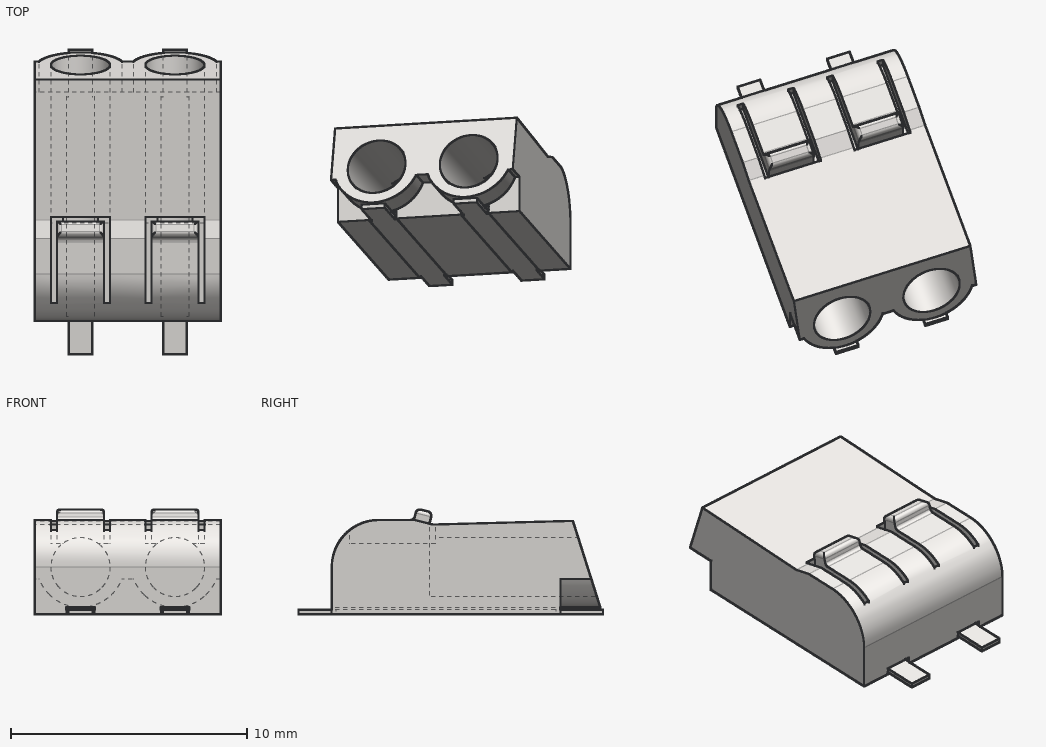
import cadquery as cq
import math


pole_pitch = 4.0
pole_centers = (-pole_pitch / 2, pole_pitch / 2)

lead_length = 12.9
lead_width = 1.0
lead_thickness = 0.19
lead_front_y = -lead_length / 2

housing_width = 7.9
housing_top = 4.0
lead_exposed_front = 1.4
front_y = lead_front_y + lead_exposed_front
front_radius = 2.0
foot_depth = 9.69
foot_rear_y = front_y + foot_depth
ramp_front_y = -1.55
ramp_rear_y = -0.76
ramp_rear_z = 3.8
roof_rear_y = 5.17
roof_rear_z = 3.96
rear_tip_y = 6.33

channel_width = 1.2
channel_height = 0.3
shoulder_setback = 0.19

hole_diameter = 2.5
hole_center_z = 2.0
overhang_z = 1.5
collar_radius = 1.88
collar_center_z = channel_height + collar_radius

lever_width = 2.0
slot_width = 2.5
slot_front_y = -4.28
slot_rear_y = -0.65
slot_floor_z = 3.0

tab_front_y = -1.56
tab_top = 4.44
tab_thickness = 0.68
tab_radius = 0.19
root_radius = 0.17
tab_root = 0.13
ramp_angle = math.atan2(housing_top - ramp_rear_z, ramp_rear_y - ramp_front_y)
rounding_center_rise = tab_top - housing_top - tab_radius + tab_radius * math.sin(ramp_angle)
tab_height = tab_radius + rounding_center_rise / math.cos(ramp_angle)
lever_rear_y = tab_front_y + tab_thickness * math.cos(ramp_angle)


def block(width, x_center, y_range, z_range):
    """Box centered on x_center, between the given Y and Z limits."""
    y_low, y_high = y_range
    z_low, z_high = z_range
    return cq.Workplane("XY").box(
        width, y_high - y_low, z_high - z_low, centered=(True, False, False)
    ).translate((x_center, y_low, z_low))


def rod_along_y(radius, x_center, z_center, y_range):
    """Cylinder parallel to Y."""
    y_low, y_high = y_range
    axis_start = cq.Vector(x_center, y_low, z_center)
    return cq.Workplane(
        cq.Solid.makeCylinder(radius, y_high - y_low, axis_start, cq.Vector(0, 1, 0))
    )


def make_envelope():
    """Side outline of the housing, extruded across its full width."""
    arc_center_y = front_y + front_radius
    arc_center_z = housing_top - front_radius
    arc_reach = front_radius * math.sqrt(0.5)
    return (
        cq.Workplane("YZ")
        .moveTo(front_y, 0)
        .lineTo(front_y, arc_center_z)
        .threePointArc(
            (arc_center_y - arc_reach, arc_center_z + arc_reach),
            (arc_center_y, housing_top),
        )
        .lineTo(ramp_front_y, housing_top)
        .lineTo(ramp_rear_y, ramp_rear_z)
        .lineTo(roof_rear_y, roof_rear_z)
        .lineTo(rear_tip_y, channel_height)
        .lineTo(foot_rear_y, channel_height)
        .lineTo(foot_rear_y, 0)
        .close()
        .extrude(housing_width / 2, both=True)
    )


def make_undercut():
    """Space under the rear overhang, around the two round wire entry collars."""
    undercut = block(housing_width, 0, (foot_rear_y, rear_tip_y), (0, overhang_z))
    for x in pole_centers:
        undercut = undercut.cut(
            rod_along_y(collar_radius, x, collar_center_z, (foot_rear_y, rear_tip_y))
        )
    return undercut


def make_lever_slot(x):
    """U-shaped slot that frees the sides and the rear end of one lever."""
    slot = block(slot_width, x, (slot_front_y, slot_rear_y), (slot_floor_z, housing_top))
    lever = block(lever_width, x, (slot_front_y, lever_rear_y), (slot_floor_z, housing_top))
    return slot.cut(lever)


def make_tab(x):
    """Finger tab with rounded top edges, tilted square to the ramp."""
    tab = (
        cq.Workplane("XY")
        .box(lever_width, tab_thickness, tab_height + tab_root, centered=(True, False, False))
        .faces(">Z")
        .edges()
        .fillet(tab_radius)
        .translate((0, 0, -tab_root))
    )
    tilted = tab.rotate((0, 0, 0), (1, 0, 0), -math.degrees(ramp_angle))
    return tilted.translate((x, tab_front_y, housing_top))


def make_tab_root_fillet(x):
    """Concave fillet between the lever top and the front of the tab."""
    tangent_length = root_radius * math.tan(math.pi / 4 - ramp_angle / 2)
    center_y = tab_front_y - tangent_length
    center_z = housing_top + root_radius
    tab_side_y = tab_front_y + tangent_length * math.sin(ramp_angle)
    tab_side_z = housing_top + tangent_length * math.cos(ramp_angle)
    half_sweep = (math.pi / 2 - ramp_angle) / 2
    arc_middle = (
        center_y + root_radius * math.sin(half_sweep),
        center_z - root_radius * math.cos(half_sweep),
    )
    return (
        cq.Workplane("YZ")
        .moveTo(center_y, housing_top)
        .threePointArc(arc_middle, (tab_side_y, tab_side_z))
        .lineTo(tab_front_y, housing_top)
        .close()
        .extrude(lever_width / 2, both=True)
        .translate((x, 0, 0))
    )


def make_housing():
    housing = make_envelope().cut(make_undercut())
    for x in pole_centers:
        wire_hole = rod_along_y(hole_diameter / 2, x, hole_center_z, (lever_rear_y, rear_tip_y))
        channel = block(channel_width, x, (front_y, foot_rear_y), (0, channel_height))
        housing = housing.cut(make_lever_slot(x)).cut(wire_hole).cut(channel)
        housing = housing.union(make_tab(x)).union(make_tab_root_fillet(x))
    return housing


def make_lead(x):
    """Flat solder lead, with a wider middle held between the walls of its channel."""
    strip = block(lead_width, x, (lead_front_y, -lead_front_y), (0, lead_thickness))
    middle_range = (front_y + shoulder_setback, foot_rear_y - shoulder_setback)
    middle = block(channel_width, x, middle_range, (0, lead_thickness))
    return strip.union(middle)


housing = make_housing().solids().val()
leads = [make_lead(x).solids().val() for x in pole_centers]

result = cq.Compound.makeCompound([housing, *leads])